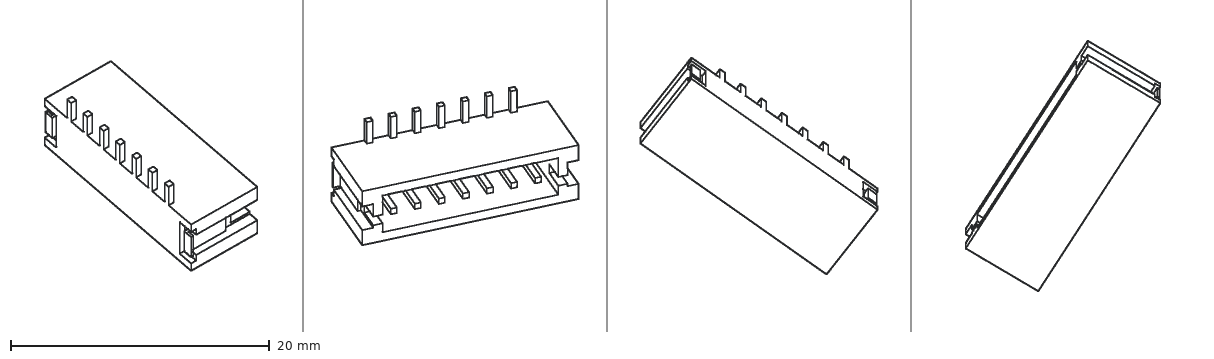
import cadquery as cq

LENGTH = 17.95
DEPTH = 6.6
BODY_HEIGHT = 5.0

PIN_COUNT = 7
PIN_PITCH = 2.0
PIN_SIZE = 0.5
PIN_RISE = 2.0
PIN_BOTTOM = 1.63
PIN_TIP_SETBACK = 0.95

CHANNEL_HEIGHT = 2.19
CHANNEL_DEPTH = 0.63
REAR_CHANNEL_DEPTH = 0.92
REAR_CHANNEL_LENGTH = 2.62

NOTCH_WIDTH = 1.4
NOTCH_HEIGHT = 3.4
NOTCH_DEPTH = 0.5
TAB_WIDTH = 0.9
TAB_SETBACK = 0.04
LIP_THICKNESS = 0.22
LIP_END_GAP = 0.05

SLOT_BOTTOM = 1.63
SLOT_HEIGHT = 0.8
SLOT_DEPTH = 1.92

CAVITY_END_WALL = 1.69
CAVITY_WALL = 0.8
CAVITY_DEPTH = 4.85

MID_HEIGHT = BODY_HEIGHT / 2
X_END = LENGTH / 2


def block(x_range, y_range, z_range):
    """Axis-aligned box between the given limits."""
    (x0, x1), (y0, y1), (z0, z1) = x_range, y_range, z_range
    return cq.Workplane("XY").box(x1 - x0, y1 - y0, z1 - z0, centered=False).translate((x0, y0, z0))


def centred(height):
    """Vertical limits of a feature centred on the housing height."""
    return (MID_HEIGHT - height / 2, MID_HEIGHT + height / 2)


def from_end(inset):
    """X limits of a cut reaching inward from the -X end."""
    return (-X_END, -X_END + inset)


def end_recess():
    """Material removed at the -X end: stepped channel, corner notch and wall slot."""
    channel = block(from_end(CHANNEL_DEPTH), (0, DEPTH), centred(CHANNEL_HEIGHT))
    rear = block(from_end(REAR_CHANNEL_DEPTH), (DEPTH - REAR_CHANNEL_LENGTH, DEPTH), centred(CHANNEL_HEIGHT))
    notch = block(from_end(NOTCH_WIDTH), (0, NOTCH_DEPTH), centred(NOTCH_HEIGHT))
    slot_z = (SLOT_BOTTOM, SLOT_BOTTOM + SLOT_HEIGHT)
    slot = block(from_end(CAVITY_END_WALL), (DEPTH - SLOT_DEPTH, DEPTH), slot_z)
    return channel.union(rear).union(notch).union(slot)


def end_tab():
    """Hooked tab at the -X end: a stem in the notch with a thin lip pointing outward."""
    x_stem = -X_END + CHANNEL_DEPTH
    x_tip = -X_END + LIP_END_GAP
    x_inner = -X_END + TAB_WIDTH
    stem = block((x_stem, x_inner), (TAB_SETBACK, NOTCH_DEPTH), centred(CHANNEL_HEIGHT))
    lip = block((x_tip, x_inner), (TAB_SETBACK, TAB_SETBACK + LIP_THICKNESS), centred(CHANNEL_HEIGHT))
    return stem.union(lip)


def cavity():
    """Mating cavity, centred in the housing and open toward +Y."""
    half = X_END - CAVITY_END_WALL
    return block((-half, half), (DEPTH - CAVITY_DEPTH, DEPTH), (CAVITY_WALL, BODY_HEIGHT - CAVITY_WALL))


def pin(x):
    """Square pin: a contact leg along Y and a mounting leg rising above the housing."""
    x_range = (x - PIN_SIZE / 2, x + PIN_SIZE / 2)
    contact = block(x_range, (0, DEPTH - PIN_TIP_SETBACK), (PIN_BOTTOM, PIN_BOTTOM + PIN_SIZE))
    leg = block(x_range, (0, PIN_SIZE), (PIN_BOTTOM, BODY_HEIGHT + PIN_RISE))
    return contact.union(leg)


recess = end_recess()
tab = end_tab()

housing = block((-X_END, X_END), (0, DEPTH), (0, BODY_HEIGHT))
housing = housing.cut(cavity()).cut(recess).cut(recess.mirror("YZ"))
housing = housing.union(tab).union(tab.mirror("YZ"))

first_pin_x = -(PIN_COUNT - 1) / 2 * PIN_PITCH
for index in range(PIN_COUNT):
    housing = housing.union(pin(first_pin_x + index * PIN_PITCH))

result = housing